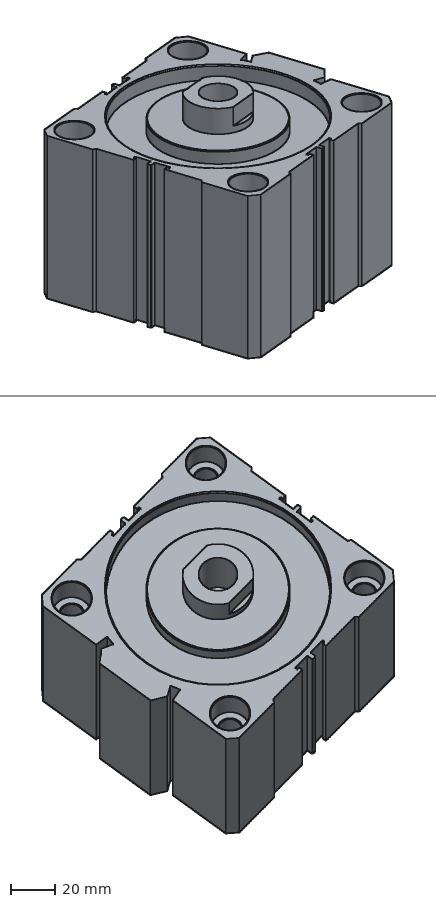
import cadquery as cq

BODY_SIDE = 117.0
BODY_HEIGHT = 82.9
CORNER_CHAMFER = 4.3
HALF_SIDE = BODY_SIDE / 2

OVERALL_DEPTH = 123.5
RAIL_TOP_HALF_WIDTH = 15.1
RAIL_WAIST_HALF_WIDTH = 19.5
NOTCH_MOUTH_HALF_SPAN = 22.7
NOTCH_FLOOR_OUTER = (21.6, 52.0)
NOTCH_FLOOR_INNER = (16.9, 53.2)
RAIL_TOP_Y = OVERALL_DEPTH - HALF_SIDE

CHANNEL_DEPTH = 1.5
CHANNEL_MOUTH_HALF_WIDTH = 29.5
CHANNEL_FLOOR_HALF_WIDTH = 28.5

SLOT_HALF_WIDTH = 8.3
SLOT_DEPTH = 3.1
UNDERCUT_HALF_WIDTH = 9.5
UNDERCUT_HEIGHT = 1.1
RIB_WIDTH = 2.2
RIB_CHAMFER = 0.31

HOLE_PITCH = 93.9
HOLE_DIAMETER = 10.6
COUNTERBORE_DIAMETER = 17.7
COUNTERBORE_DEPTH = 13.6
HOLE_CHAMFER = 0.4

RECESS_DIAMETER = 101.3
RECESS_DEPTH = 7.7
RECESS_CHAMFER = 0.6
COLLAR_DIAMETER = 65.0
COLLAR_DROP = 1.0
COLLAR_CHAMFER = 0.5

ROD_DIAMETER = 32.0
ROD_TOP = 95.0
ROD_SEAT_DEPTH = 40.8
FLATS_WIDTH = 27.3
FLATS_HEIGHT = 9.6
BORE_DIAMETER = 17.5
BORE_DEPTH = 25.9

COLLAR_TOP = BODY_HEIGHT - COLLAR_DROP
ROD_SEAT = BODY_HEIGHT - ROD_SEAT_DEPTH


def mirrored_outline(right_half):
    """Close a right-hand half outline with its mirror image in the YZ plane."""
    left_half = [(-x, y) for x, y in reversed(right_half)]
    return cq.Workplane("XY").polyline(right_half + left_half).close()


def frustum(z, bottom_diameter, top_diameter, height):
    """Cone frustum on the Z axis, standing at height z."""
    cone = cq.Solid.makeCone(bottom_diameter / 2, top_diameter / 2, height)
    return cq.Workplane(cone.moved(cq.Location(cq.Vector(0, 0, z))))


def cylinder(z, diameter, height):
    """Cylinder on the Z axis, standing at height z."""
    return cq.Workplane("XY", origin=(0, 0, z)).circle(diameter / 2).extrude(height)


def make_block():
    """Chamfered square block with the dovetail rail on its +Y side."""
    right_half = [
        (HALF_SIDE - CORNER_CHAMFER, -HALF_SIDE),
        (HALF_SIDE, CORNER_CHAMFER - HALF_SIDE),
        (HALF_SIDE, HALF_SIDE - CORNER_CHAMFER),
        (HALF_SIDE - CORNER_CHAMFER, HALF_SIDE),
        (NOTCH_MOUTH_HALF_SPAN, HALF_SIDE),
        NOTCH_FLOOR_OUTER,
        NOTCH_FLOOR_INNER,
        (RAIL_WAIST_HALF_WIDTH, HALF_SIDE),
        (RAIL_TOP_HALF_WIDTH, RAIL_TOP_Y),
    ]
    return mirrored_outline(right_half).extrude(BODY_HEIGHT)


def make_side_channel():
    """Cutter for the channel and slot of the -Y side; the slot's rib is left standing."""
    channel_y = CHANNEL_DEPTH - HALF_SIDE
    slot_y = channel_y + SLOT_DEPTH
    lip_y = slot_y - UNDERCUT_HEIGHT
    rib_half = RIB_WIDTH / 2
    right_half = [
        (CHANNEL_MOUTH_HALF_WIDTH, -HALF_SIDE),
        (CHANNEL_FLOOR_HALF_WIDTH, channel_y),
        (SLOT_HALF_WIDTH, channel_y),
        (SLOT_HALF_WIDTH, lip_y),
        (UNDERCUT_HALF_WIDTH, lip_y),
        (UNDERCUT_HALF_WIDTH, slot_y),
        (rib_half, slot_y),
        (rib_half, channel_y + RIB_CHAMFER),
        (rib_half - RIB_CHAMFER, channel_y),
    ]
    return mirrored_outline(right_half).extrude(BODY_HEIGHT)


def make_mounting_hole():
    """Cutter for one counterbored hole on the Z axis, with both rims chamfered."""
    shelf = BODY_HEIGHT - COUNTERBORE_DEPTH
    hole = cylinder(0, HOLE_DIAMETER, BODY_HEIGHT)
    counterbore = cylinder(shelf, COUNTERBORE_DIAMETER, COUNTERBORE_DEPTH)
    cutter = hole.union(counterbore)
    for rim, diameter in ((shelf, HOLE_DIAMETER), (BODY_HEIGHT, COUNTERBORE_DIAMETER)):
        chamfer = frustum(rim - HOLE_CHAMFER, diameter, diameter + 2 * HOLE_CHAMFER, HOLE_CHAMFER)
        cutter = cutter.union(chamfer)
    return cutter


def make_recess():
    """Cutter for the top recess, which leaves the chamfered collar standing."""
    floor = BODY_HEIGHT - RECESS_DEPTH
    rim_chamfer = frustum(
        BODY_HEIGHT - RECESS_CHAMFER, RECESS_DIAMETER, RECESS_DIAMETER + 2 * RECESS_CHAMFER, RECESS_CHAMFER
    )
    pocket = cylinder(floor, RECESS_DIAMETER, RECESS_DEPTH).union(rim_chamfer)
    collar = cylinder(floor, COLLAR_DIAMETER, COLLAR_TOP - floor).faces(">Z").chamfer(COLLAR_CHAMFER)
    return pocket.cut(collar)


def make_housing():
    """Cylinder housing with a blind seat for the rod."""
    housing = make_block()
    for angle in (-90, 0, 90):
        housing = housing.cut(make_side_channel().rotate((0, 0, 0), (0, 0, 1), angle))
    for x in (-HOLE_PITCH / 2, HOLE_PITCH / 2):
        for y in (-HOLE_PITCH / 2, HOLE_PITCH / 2):
            housing = housing.cut(make_mounting_hole().translate((x, y, 0)))
    housing = housing.cut(make_recess())
    return housing.cut(cylinder(ROD_SEAT, ROD_DIAMETER, ROD_SEAT_DEPTH))


def make_rod():
    """Round rod with two wrench flats facing -X and +X and a blind bore in its end."""
    flats_bottom = ROD_TOP - FLATS_HEIGHT
    shank = cylinder(ROD_SEAT, ROD_DIAMETER, flats_bottom - ROD_SEAT)
    head = cylinder(flats_bottom, ROD_DIAMETER, FLATS_HEIGHT)
    between_flats = (
        cq.Workplane("XY", origin=(0, 0, flats_bottom)).rect(FLATS_WIDTH, ROD_DIAMETER).extrude(FLATS_HEIGHT)
    )
    rod = shank.union(head.intersect(between_flats))
    return rod.cut(cylinder(ROD_TOP - BORE_DEPTH, BORE_DIAMETER, BORE_DEPTH))


housing = make_housing()
rod = make_rod()

result = cq.Compound.makeCompound([housing.solids().val(), rod.solids().val()])